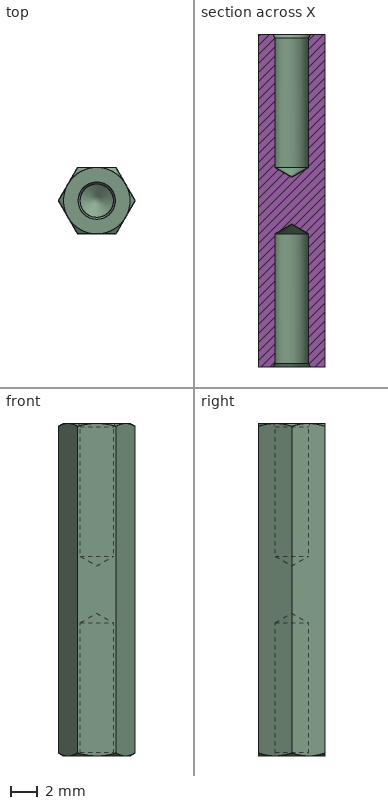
import cadquery as cq
import math

LENGTH = 25.0
ACROSS_FLATS = 5.005
HEXAGON_SIDES = 6

BEVEL_FACE_DIAMETER = 5.0
BEVEL_ANGLE = 30.0

HOLE_DIAMETER = 2.5
HOLE_DEPTH = 10.0
DRILL_POINT_ANGLE = 120.0
COUNTERSINK_DIAMETER = 2.8
COUNTERSINK_ANGLE = 60.0

ACROSS_CORNERS = ACROSS_FLATS / math.cos(math.pi / HEXAGON_SIDES)
HALF_LENGTH = LENGTH / 2


def cone_height(radial_step, included_angle):
    """Axial height of a cone whose radius changes by radial_step."""
    return radial_step / math.tan(math.radians(included_angle / 2))


def revolve_about_z(points):
    """Solid of revolution from (radius, z) points."""
    return cq.Workplane("XZ").polyline(points).close().revolve(360, (0, 0), (0, 1))


def hexagonal_bar():
    """Hexagonal bar centred on the origin, with two corners on the X axis."""
    return cq.Workplane("XY").polygon(HEXAGON_SIDES, ACROSS_CORNERS).extrude(HALF_LENGTH, both=True)


def bevel_envelope():
    """Round body with conical ends; its overlap with the bar bevels the corners."""
    corner_radius = ACROSS_CORNERS / 2
    face_radius = BEVEL_FACE_DIAMETER / 2
    bevel_height = (corner_radius - face_radius) * math.tan(math.radians(BEVEL_ANGLE))
    return revolve_about_z([
        (0, -HALF_LENGTH),
        (face_radius, -HALF_LENGTH),
        (corner_radius, -HALF_LENGTH + bevel_height),
        (corner_radius, HALF_LENGTH - bevel_height),
        (face_radius, HALF_LENGTH),
        (0, HALF_LENGTH),
    ])


def top_hole():
    """Countersunk blind hole with a drill point, entering from the top face."""
    hole_radius = HOLE_DIAMETER / 2
    mouth_radius = COUNTERSINK_DIAMETER / 2
    countersink_depth = cone_height(mouth_radius - hole_radius, COUNTERSINK_ANGLE)
    shoulder_z = HALF_LENGTH - HOLE_DEPTH
    tip_z = shoulder_z - cone_height(hole_radius, DRILL_POINT_ANGLE)
    return revolve_about_z([
        (0, HALF_LENGTH),
        (mouth_radius, HALF_LENGTH),
        (hole_radius, HALF_LENGTH - countersink_depth),
        (hole_radius, shoulder_z),
        (0, tip_z),
    ])


def both_holes():
    """The top hole and its mirror image in the bottom end."""
    upper = top_hole()
    return upper.union(upper.mirror("XY"))


result = hexagonal_bar().intersect(bevel_envelope()).cut(both_holes())